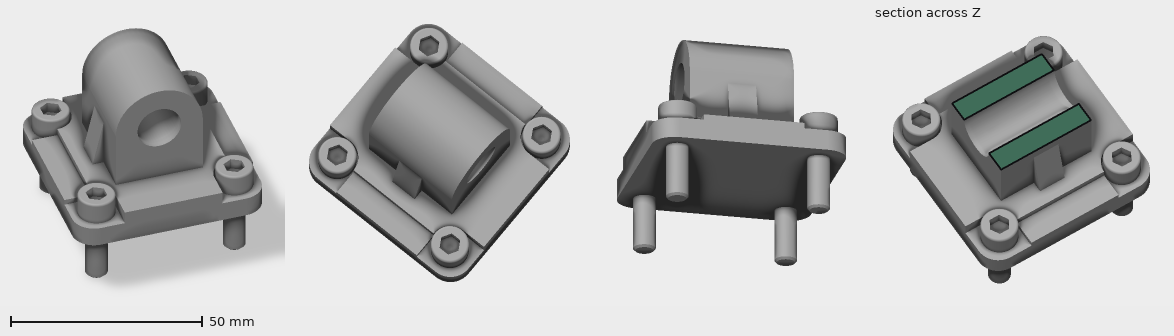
import cadquery as cq
import math

plate_size = 52.0
plate_height = 9.0
plate_corner_radius = 6.0
step_height = 7.0
step_inner_y = 19.0

screw_offset = 19.0
seat_height = 5.5
seat_radius = 5.5

lug_length = 28.0
lug_radius = 12.0
pivot_height = 25.0
pivot_hole_diameter = 12.0

rib_width = 7.6
rib_foot_y = 15.0
rib_top_height = 22.0

shank_diameter = 6.0
shank_length = 20.0
shank_chamfer = 0.6
head_diameter = 10.0
head_height = 6.0
head_fillet = 0.6
socket_across_flats = 5.0
socket_sides = 6
socket_depth = 3.0
socket_point_angle = 120.0

half_plate = plate_size / 2
corner_positions = [(sx * screw_offset, sy * screw_offset) for sx in (-1, 1) for sy in (-1, 1)]


def box_on(z_bottom, z_top, x_size, y_size, center=(0, 0)):
    """Upright box between two heights, centred on a point in plan."""
    return (
        cq.Workplane("XY")
        .workplane(offset=z_bottom)
        .center(*center)
        .rect(x_size, y_size)
        .extrude(z_top - z_bottom)
    )


def make_seat_cutter(x, y):
    """Corner relief: an L of two boxes whose inner corner is round about the screw axis."""
    outer_width = half_plate - screw_offset
    reach = outer_width + seat_radius
    side_x = math.copysign(1, x)
    side_y = math.copysign(1, y)
    outer_center = half_plate - outer_width / 2
    inner_center = half_plate - reach / 2
    along_x_center = (side_x * inner_center, side_y * outer_center)
    along_y_center = (side_x * outer_center, side_y * inner_center)
    along_x = box_on(seat_height, plate_height, reach, outer_width, along_x_center)
    along_y = box_on(seat_height, plate_height, outer_width, reach, along_y_center)
    round_part = (
        cq.Workplane("XY")
        .workplane(offset=seat_height)
        .center(x, y)
        .circle(seat_radius)
        .extrude(plate_height - seat_height)
    )
    return along_x.union(along_y).union(round_part)


def make_plate():
    plate = box_on(0, plate_height, plate_size, plate_size).edges("|Z").fillet(plate_corner_radius)
    strip_width = half_plate - step_inner_y
    for side in (-1, 1):
        strip_center = (0, side * (step_inner_y + strip_width / 2))
        plate = plate.cut(box_on(step_height, plate_height, plate_size, strip_width, strip_center))
    for x, y in corner_positions:
        plate = plate.cut(make_seat_cutter(x, y))
    return plate


def make_lug():
    """Round-topped block extruded along X."""
    return (
        cq.Workplane("YZ")
        .moveTo(-lug_radius, plate_height)
        .lineTo(lug_radius, plate_height)
        .lineTo(lug_radius, pivot_height)
        .threePointArc((0, pivot_height + lug_radius), (-lug_radius, pivot_height))
        .close()
        .extrude(lug_length / 2, both=True)
    )


def make_ribs():
    """One profile through the lug gives the tapered rib on each side."""
    profile = [
        (-rib_foot_y, plate_height),
        (rib_foot_y, plate_height),
        (lug_radius, rib_top_height),
        (-lug_radius, rib_top_height),
    ]
    return cq.Workplane("YZ").polyline(profile).close().extrude(rib_width / 2, both=True)


def make_pivot_hole():
    return (
        cq.Workplane("YZ")
        .center(0, pivot_height)
        .circle(pivot_hole_diameter / 2)
        .extrude(lug_length / 2, both=True)
    )


def make_socket():
    """Hexagonal recess with a conical bottom, corners on the X axis, mouth at the head top."""
    corner_radius = socket_across_flats / math.sqrt(3)
    point_depth = corner_radius / math.tan(math.radians(socket_point_angle / 2))
    floor_height = head_height - socket_depth
    hexagon = (
        cq.Workplane("XY")
        .workplane(offset=floor_height)
        .polygon(socket_sides, 2 * corner_radius)
        .extrude(socket_depth)
    )
    apex_direction = cq.Vector(0, 0, -1)
    cone = cq.Solid.makeCone(corner_radius, 0, point_depth, cq.Vector(0, 0, floor_height), apex_direction)
    return hexagon.union(cq.Workplane(cone))


def make_screw():
    """Cap screw along Z with the underside of its head at Z = 0."""
    head = cq.Workplane("XY").circle(head_diameter / 2).extrude(head_height)
    head = head.faces(">Z").edges().fillet(head_fillet)
    shank = cq.Workplane("XY").circle(shank_diameter / 2).extrude(-shank_length)
    shank = shank.faces("<Z").edges().chamfer(shank_chamfer)
    return head.union(shank).cut(make_socket())


result = make_plate().union(make_ribs()).union(make_lug()).cut(make_pivot_hole())
screw = make_screw()
for corner_x, corner_y in corner_positions:
    result = result.union(screw.translate((corner_x, corner_y, seat_height)))